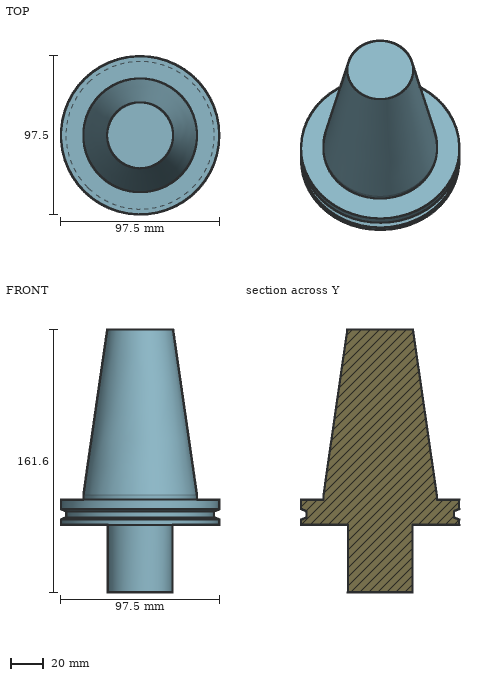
import cadquery as cq

total_height = 161.6
shank_diameter = 40.0
flange_diameter = 97.5
groove_diameter = 91.0
taper_large_diameter = 70.0
taper_small_diameter = 40.5

shank_length = 41.4
lower_rim_height = 3.4
groove_chamfer_height = 1.3
groove_floor_height = 3.7
flange_height = 15.5
collar_height = 2.9

shank_radius = shank_diameter / 2
flange_radius = flange_diameter / 2
groove_radius = groove_diameter / 2
taper_large_radius = taper_large_diameter / 2
taper_small_radius = taper_small_diameter / 2

groove_bottom = shank_length + lower_rim_height
groove_floor_bottom = groove_bottom + groove_chamfer_height
groove_floor_top = groove_floor_bottom + groove_floor_height
groove_top = groove_floor_top + groove_chamfer_height
flange_top = shank_length + flange_height
taper_base = flange_top + collar_height

result = (
    cq.Workplane("XZ")
    .moveTo(0, 0)
    .lineTo(shank_radius, 0)
    .lineTo(shank_radius, shank_length)
    .lineTo(flange_radius, shank_length)
    .lineTo(flange_radius, groove_bottom)
    .lineTo(groove_radius, groove_floor_bottom)
    .lineTo(groove_radius, groove_floor_top)
    .lineTo(flange_radius, groove_top)
    .lineTo(flange_radius, flange_top)
    .lineTo(taper_large_radius, flange_top)
    .lineTo(taper_large_radius, taper_base)
    .lineTo(taper_small_radius, total_height)
    .lineTo(0, total_height)
    .close()
    .revolve(360, (0, 0, 0), (0, 1, 0))
)